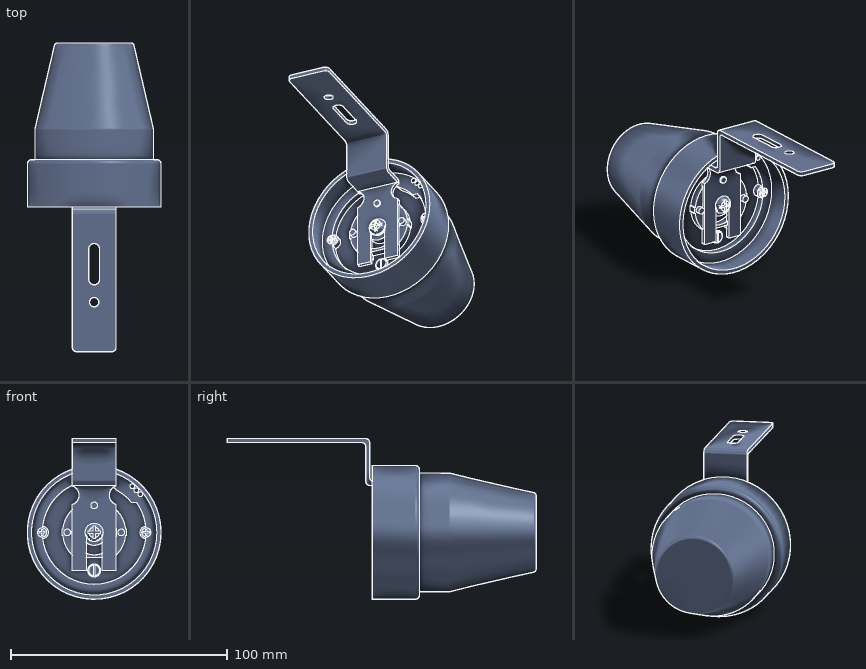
import cadquery as cq
import math


rim_radius = 31.0
cup_wall = 2.0
cup_radius = rim_radius - cup_wall
rim_length = 22.0
rim_fillet = 2.0
neck_radius = 27.5
neck_end = 36.0
neck_fillet = 2.0
nose_radius = 18.2
nose_end = 76.0
nose_fillet = 1.6

ledge_depth = 10.5
recess_radius = 24.0
floor_depth = 14.0

boss_radius = 14.6
boss_face = 10.4
boss_tab_reach = 15.0
boss_tab_width = 3.0
groove_inner_radius = 6.0
groove_outer_radius = 10.4
boss_flat_drop = 11.6
boss_flat_width = 9.0

post_circle_radius = 12.5
post_radius = 1.55
post_face = 8.2

bracket_width = 20.4
sheet = 2.0
plate_face = 9.0
plate_bottom = -17.6
lip_bottom = 21.6
leg_face = -3.0
strip_end = -67.0
strip_top = 43.5
bend_inner_radius = 1.6
bend_outer_radius = 2.2
strip_corner_radius = 2.2
plate_slot_width = 7.3
relief_radius = 4.5
relief_height = 17.2
relief_offset = 11.5
strip_slot_length = 19.0
strip_slot_width = 4.9
strip_slot_y = -26.4
strip_hole_diameter = 4.2
strip_hole_y = -44.0

pad_arc_radius = 22.1
pad_side_z = 13.8
pad_arc_end_angle = 62.0
pad_end_slant = 4.6
wire_hole_radius = 1.1
wire_hole_pitch = 2.6
wire_circle_radius = 27.6
wire_angle = 45.0
wire_hole_depth = 4.0

main_head_radius = 4.2
main_flat_radius = 2.4
main_head_height = 2.2
main_dome_bulge = 0.62
main_cross_length = 5.8
main_cross_width = 1.2
main_cross_depth = 1.2

side_screw_x = 24.1
pillar_radius = 2.9
pillar_face = 11.0
side_head_radius = 2.1
side_head_height = 1.1
side_cross_length = 2.8
side_cross_width = 0.7
side_cross_depth = 0.5

terminal_z = -17.6
terminal_radius = 3.0
terminal_chamfer = 0.5
terminal_face = 12.8
terminal_slot_width = 0.6
terminal_slot_depth = 0.8


def cylinder(x, z, radius, y_front, y_back):
    """Round bar along Y between two depths."""
    plane = cq.Workplane("XZ", origin=(x, y_back, z))
    return plane.circle(radius).extrude(y_back - y_front)


def block(x, z, width, height, y_front, y_back):
    """Rectangular bar along Y, centred on (x, z)."""
    plane = cq.Workplane("XZ", origin=(x, y_back, z))
    return plane.rect(width, height).extrude(y_back - y_front)


def cross(x, z, length, width, y_front, depth):
    """Cutter for a cross recess."""
    upright = block(x, z, width, length, y_front, y_front + depth)
    level = block(x, z, length, width, y_front, y_front + depth)
    return upright.union(level)


def circles_at(y):
    """Selector for the axis-centred circular edges at one depth."""
    reach = 1.0
    return cq.selectors.BoxSelector((-reach, y - reach, -reach), (reach, y + reach, reach))


def housing():
    outline = [
        (0, 0),
        (rim_radius, 0),
        (rim_radius, rim_length),
        (neck_radius, rim_length),
        (neck_radius, neck_end),
        (nose_radius, nose_end),
        (0, nose_end),
    ]
    shell = cq.Workplane("XY").polyline(outline).close().revolve(360, (0, 0, 0), (0, 1, 0))
    shell = shell.faces(">Y").edges().fillet(nose_fillet)
    shell = shell.edges(circles_at(neck_end)).fillet(neck_fillet)
    outermost = cq.selectors.RadiusNthSelector(-1)
    shell = shell.edges(circles_at(rim_length)).edges(outermost).fillet(rim_fillet)
    shell = shell.cut(cylinder(0, 0, cup_radius, 0, ledge_depth))
    return shell.cut(cylinder(0, 0, recess_radius, ledge_depth, floor_depth))


def ledge_pad():
    """Stretch of ledge that reaches further inwards beside the wire holes."""
    start_x = math.sqrt(pad_arc_radius ** 2 - pad_side_z ** 2)
    start_angle = math.atan2(pad_side_z, start_x)
    end_angle = math.radians(pad_arc_end_angle)
    middle_angle = (start_angle + end_angle) / 2
    end_x = pad_arc_radius * math.cos(end_angle)
    end_z = pad_arc_radius * math.sin(end_angle)
    slant = pad_end_slant * math.sqrt(0.5)
    outer_radius = (recess_radius + cup_radius) / 2
    outer_x = math.sqrt(outer_radius ** 2 - pad_side_z ** 2)
    return (
        cq.Workplane("XZ", origin=(0, floor_depth, 0))
        .moveTo(start_x, pad_side_z)
        .threePointArc(
            (pad_arc_radius * math.cos(middle_angle), pad_arc_radius * math.sin(middle_angle)),
            (end_x, end_z),
        )
        .lineTo(end_x - slant, end_z + slant)
        .threePointArc(
            (outer_radius * math.cos(middle_angle), outer_radius * math.sin(middle_angle)),
            (outer_x, pad_side_z),
        )
        .close()
        .extrude(floor_depth - ledge_depth)
    )


def wire_holes():
    angle = math.radians(wire_angle)
    holes = cq.Workplane("XZ")
    for step in (-1, 0, 1):
        along = step * wire_hole_pitch
        x = wire_circle_radius * math.cos(angle) - along * math.sin(angle)
        z = wire_circle_radius * math.sin(angle) + along * math.cos(angle)
        holes = holes.add(cylinder(x, z, wire_hole_radius, ledge_depth, ledge_depth + wire_hole_depth))
    return holes.combine()


def centre_boss():
    boss = cylinder(0, 0, boss_radius, boss_face, floor_depth)
    boss = boss.union(block(0, 0, 2 * boss_tab_reach, boss_tab_width, boss_face, floor_depth))
    groove = cylinder(0, 0, groove_outer_radius, boss_face, floor_depth)
    groove = groove.cut(cylinder(0, 0, groove_inner_radius, boss_face, floor_depth))
    notch_z = -(boss_flat_drop + boss_radius) / 2
    notch_height = boss_radius - boss_flat_drop
    notch = block(0, notch_z, boss_flat_width, notch_height, boss_face, floor_depth)
    return boss.cut(groove).cut(notch)


def posts():
    places = [(-post_circle_radius, 0), (post_circle_radius, 0), (0, post_circle_radius)]
    group = cq.Workplane("XZ")
    for x, z in places:
        group = group.add(cylinder(x, z, post_radius, post_face, floor_depth))
    return group.combine()


def bracket():
    """Sheet strip bent into a plate inside the cup, a lip, an upright leg and a top strip."""
    plate_back = plate_face + sheet
    leg_back = leg_face + sheet
    lip_top = lip_bottom + sheet
    strip_bottom = strip_top - sheet
    outline = [
        (plate_face, plate_bottom),
        (plate_face, lip_bottom),
        (leg_face, lip_bottom),
        (leg_face, strip_bottom),
        (strip_end, strip_bottom),
        (strip_end, strip_top),
        (leg_back, strip_top),
        (leg_back, lip_top),
        (plate_back, lip_top),
        (plate_back, plate_bottom),
    ]
    inner_bends = [(leg_face, strip_bottom), (leg_back, lip_top)]
    outer_bends = [(leg_face, lip_bottom), (leg_back, strip_top), (plate_back, lip_top)]
    body = cq.Workplane("YZ").polyline(outline).close().extrude(bracket_width / 2, both=True)
    for bends, radius in ((inner_bends, bend_inner_radius), (outer_bends, bend_outer_radius)):
        for y, z in bends:
            body = body.edges(cq.selectors.NearestToPointSelector((0, y, z))).fillet(radius)
    body = body.faces("<Y").edges("|Z").fillet(strip_corner_radius)

    slot_cut = block(0, plate_bottom / 2, plate_slot_width, -plate_bottom, plate_face, plate_back)
    slot_cut = slot_cut.union(cylinder(0, 0, plate_slot_width / 2, plate_face, plate_back))
    body = body.cut(slot_cut)
    for side in (-1, 1):
        body = body.cut(cylinder(side * relief_offset, relief_height, relief_radius, plate_face, plate_back))

    top = cq.Workplane("XY", origin=(0, 0, strip_bottom))
    strip_slot = top.center(0, strip_slot_y).slot2D(strip_slot_length, strip_slot_width, 90).extrude(sheet)
    strip_hole = top.center(0, strip_hole_y).circle(strip_hole_diameter / 2).extrude(sheet)
    return body.cut(strip_slot).cut(strip_hole)


def main_screw():
    """Domed cross-head screw clamping the plate to the boss."""
    top = plate_face - main_head_height
    middle_x = main_flat_radius + (main_head_radius - main_flat_radius) * main_dome_bulge
    middle_y = plate_face - main_head_height * main_dome_bulge
    head = (
        cq.Workplane("XY")
        .moveTo(0, plate_face)
        .lineTo(main_head_radius, plate_face)
        .threePointArc((middle_x, middle_y), (main_flat_radius, top))
        .lineTo(0, top)
        .close()
        .revolve(360, (0, 0, 0), (0, 1, 0))
    )
    shank = cylinder(0, 0, plate_slot_width / 2, plate_face, boss_face)
    recess = cross(0, 0, main_cross_length, main_cross_width, top, main_cross_depth)
    return head.union(shank).cut(recess)


def side_screw(x):
    top = pillar_face - side_head_height
    pillar = cylinder(x, 0, pillar_radius, pillar_face, floor_depth)
    head = cylinder(x, 0, side_head_radius, top, pillar_face)
    recess = cross(x, 0, side_cross_length, side_cross_width, top, side_cross_depth)
    return pillar.union(head).cut(recess)


def terminal_screw():
    head = cylinder(0, terminal_z, terminal_radius, terminal_face, floor_depth)
    head = head.faces("<Y").chamfer(terminal_chamfer)
    slot_end = terminal_face + terminal_slot_depth
    return head.cut(
        block(0, terminal_z, terminal_slot_width, 2 * terminal_radius, terminal_face, slot_end)
    )


result = housing().union(ledge_pad()).cut(wire_holes())
result = result.union(centre_boss()).union(bracket()).union(posts())
result = result.union(main_screw()).union(terminal_screw())
for screw_x in (-side_screw_x, side_screw_x):
    result = result.union(side_screw(screw_x))